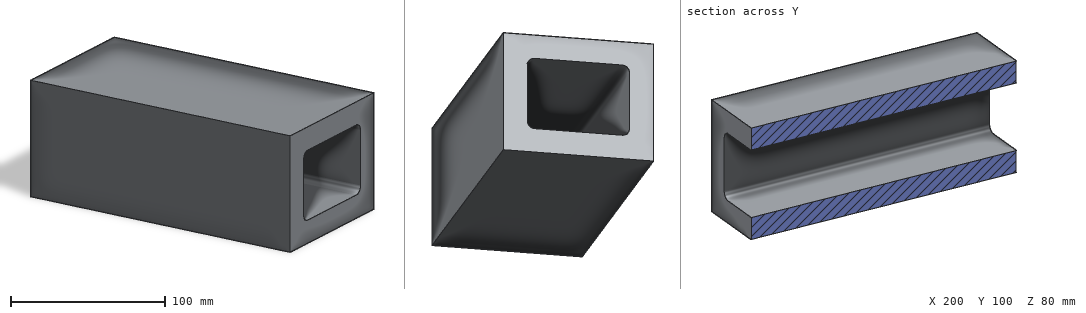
import cadquery as cq

length = 200.0
width = 100.0
height = 80.0

wall = 16.0
bore_corner_radius = 5.0

bore_width = width - 2 * wall
bore_height = height - 2 * wall


def make_body():
    """Solid block, centred on the origin."""
    return cq.Workplane("XY").box(length, width, height)


def make_bore():
    """Rectangular through passage along X with rounded corners."""
    bore = cq.Workplane("XY").box(length, bore_width, bore_height)
    return bore.edges("|X").fillet(bore_corner_radius)


result = make_body().cut(make_bore())